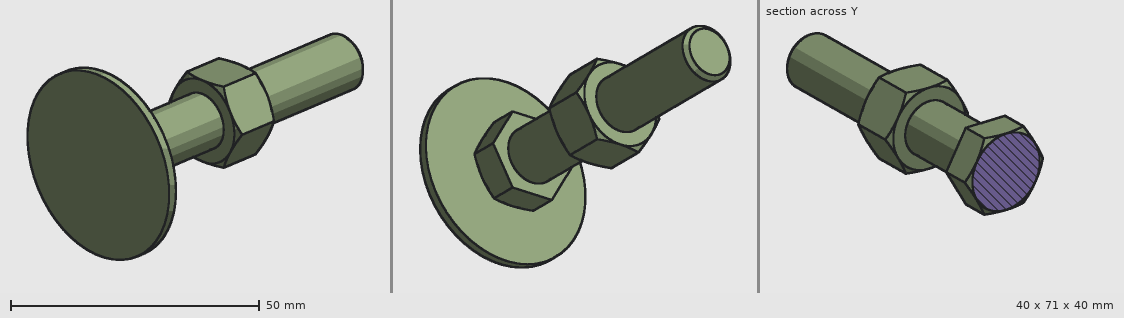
import cadquery as cq
import math

TOTAL_LENGTH = 71.0

PLATE_DIAMETER = 40.0
PLATE_THICKNESS = 2.0
NECK_BASE_RADIUS = 6.0
NECK_TIP_RADIUS = 4.25
NECK_HEIGHT = 1.9

HEAD_ACROSS_FLATS = 17.0
HEAD_HEIGHT = 7.0
SHANK_DIAMETER = 12.0
SHANK_END_CHAMFER = 1.0

NUT_ACROSS_FLATS = 17.95
NUT_HEIGHT = 10.8
NUT_START = 29.95

CORNER_CHAMFER_ANGLE = math.radians(30)

HEAD_START = PLATE_THICKNESS + NECK_HEIGHT
HEAD_END = HEAD_START + HEAD_HEIGHT


def cylinder(diameter, start, length):
    """Cylinder around Y, running from start toward +Y."""
    plane = cq.Workplane("XZ", origin=(0, start, 0))
    return plane.circle(diameter / 2).extrude(-length)


def turned(profile):
    """Solid of revolution around Y from (radius, y) points."""
    return cq.Workplane("XY").polyline(profile).close().revolve(360, (0, 0), (0, 1))


def chamfered_hexagon(across_flats, start, height, chamfer_far_end):
    """Hexagonal prism with corners on X, turned to a cone at the near end and optionally the far end."""
    flat_radius = across_flats / 2
    corner_radius = flat_radius / math.cos(math.pi / 6)
    chamfer_depth = (corner_radius - flat_radius) * math.tan(CORNER_CHAMFER_ANGLE)
    end = start + height
    prism = (
        cq.Workplane("XZ", origin=(0, start, 0))
        .polygon(6, 2 * corner_radius)
        .extrude(-height)
    )
    envelope = [(0, start), (flat_radius, start), (corner_radius, start + chamfer_depth)]
    if chamfer_far_end:
        envelope += [(corner_radius, end - chamfer_depth), (flat_radius, end)]
    else:
        envelope += [(corner_radius, end)]
    envelope += [(0, end)]
    return prism.intersect(turned(envelope))


def make_foot():
    profile = [
        (0, 0),
        (PLATE_DIAMETER / 2, 0),
        (PLATE_DIAMETER / 2, PLATE_THICKNESS),
        (NECK_BASE_RADIUS, PLATE_THICKNESS),
        (NECK_TIP_RADIUS, HEAD_START),
        (0, HEAD_START),
    ]
    return turned(profile)


def make_bolt():
    head = chamfered_hexagon(HEAD_ACROSS_FLATS, HEAD_START, HEAD_HEIGHT, chamfer_far_end=False)
    shank = cylinder(SHANK_DIAMETER, HEAD_END, TOTAL_LENGTH - HEAD_END)
    shank = shank.faces(">Y").chamfer(SHANK_END_CHAMFER)
    return head.union(shank)


def make_nut():
    blank = chamfered_hexagon(NUT_ACROSS_FLATS, NUT_START, NUT_HEIGHT, chamfer_far_end=True)
    bore = cylinder(SHANK_DIAMETER, NUT_START, NUT_HEIGHT)
    return blank.cut(bore)


foot = make_foot()
bolt = make_bolt()
nut = make_nut()

result = cq.Compound.makeCompound([foot.val(), bolt.val(), nut.val()])